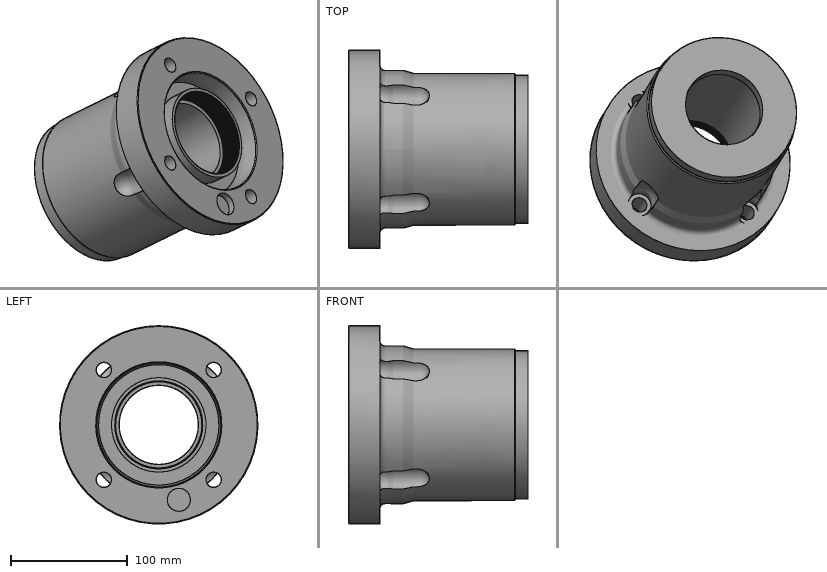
import cadquery as cq
import math


flange_radius = 85.0
flange_length = 27.0
flange_chamfer = 0.7
neck_radius = 67.7
neck_fillet = 4.5
neck_end = 47.0
barrel_radius = 65.1
barrel_start = 56.0
barrel_land_start = 117.6
barrel_end = 143.3
barrel_chamfer = 1.2

recess_mouth_radius = 54.0
recess_mouth_chamfer = 0.8
recess_seat_radius = 51.5
recess_taper_end = 13.1
recess_depth = 20.5

bolt_count = 4
bolt_circle_radius = 66.5
bolt_start_angle = 45.0
bolt_hole_radius = 6.5
slot_radius = 11.0
slot_entry_radius = 10.0
slot_entry_end = 34.0
slot_taper_end = 38.6
slot_ball_center = 58.5

drive_hole_radius = 9.9
drive_hole_depth = 6.1
drive_hole_angle = -105.0

sleeve_radius = 40.5
sleeve_start = 4.6
bore_radius = 33.8
thread_root_radius = 37.7
thread_crest_radius = 36.9
thread_pitch = 1.2
thread_turns = 17

ring_radius = 63.5
overall_length = 154.0


def revolve_about_x(profile):
    """Full turn about the X axis of a closed profile of (X, radius) points; keeps faces split."""
    return profile.close().revolve(360, (0, 0, 0), (1, 0, 0), clean=False)


def on_bolt_circle(angle):
    """(Y, Z) of the point on the bolt circle at an angle from +Y toward +Z."""
    turn = math.radians(angle)
    return bolt_circle_radius * math.cos(turn), bolt_circle_radius * math.sin(turn)


def make_blank():
    """Turned housing, with the sleeve bore and the spindle recess.

    The front land of the barrel is its own face, of the same radius as the rest.
    """
    taper_mouth_radius = recess_mouth_radius - recess_mouth_chamfer
    fillet_mid = neck_fillet * (1 - math.sqrt(0.5))
    profile = (
        cq.Workplane("XZ")
        .moveTo(0, recess_mouth_radius)
        .lineTo(0, flange_radius - flange_chamfer)
        .lineTo(flange_chamfer, flange_radius)
        .lineTo(flange_length, flange_radius)
        .lineTo(flange_length, neck_radius + neck_fillet)
        .threePointArc(
            (flange_length + fillet_mid, neck_radius + fillet_mid),
            (flange_length + neck_fillet, neck_radius),
        )
        .lineTo(neck_end, neck_radius)
        .lineTo(barrel_start, barrel_radius)
        .lineTo(barrel_land_start, barrel_radius)
        .lineTo(barrel_end - barrel_chamfer, barrel_radius)
        .lineTo(barrel_end, barrel_radius - barrel_chamfer)
        .lineTo(barrel_end, sleeve_radius)
        .lineTo(recess_depth, sleeve_radius)
        .lineTo(recess_depth, recess_seat_radius)
        .lineTo(recess_taper_end, recess_seat_radius)
        .lineTo(recess_mouth_chamfer, taper_mouth_radius)
    )
    return revolve_about_x(profile)


def make_bolt_cutter(angle):
    """Bolt hole and its clearance slot as one turned tool, placed on the bolt circle."""
    ball_mid = slot_radius * math.sqrt(0.5)
    profile = (
        cq.Workplane("XZ")
        .lineTo(0, bolt_hole_radius)
        .lineTo(flange_length, bolt_hole_radius)
        .lineTo(flange_length, slot_entry_radius)
        .lineTo(slot_entry_end, slot_entry_radius)
        .lineTo(slot_taper_end, slot_radius)
        .lineTo(slot_ball_center, slot_radius)
        .threePointArc((slot_ball_center + ball_mid, ball_mid), (slot_ball_center + slot_radius, 0))
    )
    y, z = on_bolt_circle(angle)
    return revolve_about_x(profile).translate((0, y, z))


def make_drive_hole_cutter():
    y, z = on_bolt_circle(drive_hole_angle)
    return cq.Workplane("YZ").center(y, z).circle(drive_hole_radius).extrude(drive_hole_depth)


def make_housing():
    body = make_blank()
    for index in range(bolt_count):
        body = body.cut(make_bolt_cutter(bolt_start_angle + index * 360 / bolt_count), clean=False)
    return body.cut(make_drive_hole_cutter(), clean=False)


def make_sleeve():
    """Draw sleeve, with its thread modelled as a row of V-shaped ring grooves."""
    profile = (
        cq.Workplane("XZ")
        .moveTo(sleeve_start, thread_root_radius)
        .lineTo(sleeve_start, sleeve_radius)
        .lineTo(barrel_end, sleeve_radius)
        .lineTo(barrel_end, bore_radius)
        .lineTo(sleeve_start + thread_turns * thread_pitch, bore_radius)
    )
    for turn in range(thread_turns, 0, -1):
        root_x = sleeve_start + turn * thread_pitch
        profile = profile.lineTo(root_x, thread_root_radius)
        profile = profile.lineTo(root_x - thread_pitch / 2, thread_crest_radius)
    return revolve_about_x(profile)


def make_front_ring():
    ring = cq.Workplane("YZ", origin=(barrel_end, 0, 0)).circle(ring_radius).circle(bore_radius)
    return ring.extrude(overall_length - barrel_end)


housing = make_housing()
sleeve = make_sleeve()
front_ring = make_front_ring()

result = cq.Compound.makeCompound([housing.val(), sleeve.val(), front_ring.val()])